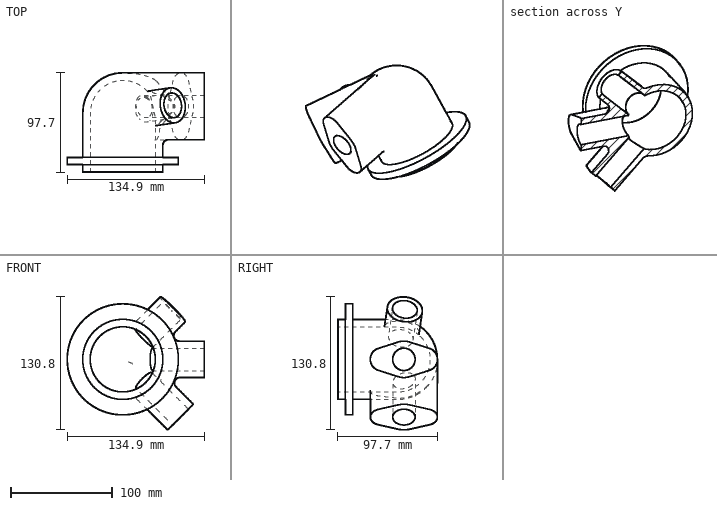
import cadquery as cq
import math

BODY_RADIUS = 39.37
BORE_RADIUS = 32.0
BODY_LENGTH = 58.35
FLANGE_RADIUS = 54.7
FLANGE_THICKNESS = 7.3
SPIGOT_LENGTH = 7.3

PORT_REACH = 80.22
PORT_HALF_LENGTH = 33.0
PORT_CENTRE_Y = BODY_RADIUS - PORT_HALF_LENGTH
PORT_CENTRE_RADIUS = 17.9
PORT_END_RADIUS = 11.3
PORT_END_OFFSET = PORT_HALF_LENGTH - PORT_END_RADIUS
PORT_BORE_RADIUS = 11.0
PORT_ANGLES = (0, 45)

BRANCH_REACH = 69.8
BRANCH_RADIUS = 17.4
BRANCH_BORE_RADIUS = 12.2
BRANCH_ANGLE = 45
BRANCH_TILT = 6

FILLET_RADIUS = 5.4
CROWN_HEIGHT = 0.57
CROWN_Y = BODY_RADIUS - CROWN_HEIGHT

EDGE_SAMPLES = (0.25, 0.5, 0.75)
SKIN_TOLERANCE = 0.001


def domed_body(radius):
    outline = (
        cq.Workplane("XY")
        .moveTo(0, -BODY_LENGTH)
        .lineTo(radius, -BODY_LENGTH)
        .lineTo(radius, 0)
        .radiusArc((0, radius), -radius)
        .close()
    )
    return outline.revolve(360, (0, 0, 0), (0, 1, 0))


def place_port(shape, angle):
    return shape.translate((0, PORT_CENTRE_Y, 0)).rotate((0, 0, 0), (0, 1, 0), angle)


def lobed_port(angle):
    lean = (PORT_CENTRE_RADIUS - PORT_END_RADIUS) / PORT_END_OFFSET
    rise = math.sqrt(1 - lean**2)
    mid_y = PORT_CENTRE_RADIUS * lean
    mid_z = PORT_CENTRE_RADIUS * rise
    end_y = PORT_END_OFFSET + PORT_END_RADIUS * lean
    end_z = PORT_END_RADIUS * rise
    port = (
        cq.Workplane("YZ")
        .moveTo(-mid_y, mid_z)
        .threePointArc((0, PORT_CENTRE_RADIUS), (mid_y, mid_z))
        .lineTo(end_y, end_z)
        .threePointArc((PORT_HALF_LENGTH, 0), (end_y, -end_z))
        .lineTo(mid_y, -mid_z)
        .threePointArc((0, -PORT_CENTRE_RADIUS), (-mid_y, -mid_z))
        .lineTo(-end_y, -end_z)
        .threePointArc((-PORT_HALF_LENGTH, 0), (-end_y, end_z))
        .close()
        .extrude(PORT_REACH)
    )
    return place_port(port, angle)


def port_bore(angle):
    return place_port(cq.Workplane("YZ").circle(PORT_BORE_RADIUS).extrude(PORT_REACH), angle)


def branch_cylinder(radius):
    cylinder = cq.Workplane("YZ").circle(radius).extrude(BRANCH_REACH)
    tilted = cylinder.rotate((0, 0, 0), (0, 0, 1), BRANCH_TILT)
    return tilted.rotate((0, 0, 0), (0, 1, 0), -BRANCH_ANGLE)


def crown_split(solid):
    """Cut the solid across Y just below the dome top, where the ports run tangent to the dome."""
    size = 2 * (PORT_REACH + BODY_LENGTH)
    block = cq.Workplane("XY").box(size, size, size)
    below = solid.intersect(block.translate((0, CROWN_Y - size / 2, 0)))
    crown = solid.intersect(block.translate((0, CROWN_Y + size / 2, 0)))
    return below, crown


def junction_edges(solid, parts):
    """Edges of the solid that lie on the skins of at least two of the parts it was joined from."""
    skins = [part.val().Shells()[0] for part in parts]

    def lies_on(edge, skin):
        samples = [cq.Vertex.makeVertex(*edge.positionAt(t).toTuple()) for t in EDGE_SAMPLES]
        return all(skin.distance(sample) < SKIN_TOLERANCE for sample in samples)

    return [e for e in solid.edges().vals() if sum(lies_on(e, skin) for skin in skins) > 1]


def blended_outside():
    parts = [domed_body(BODY_RADIUS)]
    parts += [lobed_port(angle) for angle in PORT_ANGLES]
    parts.append(branch_cylinder(BRANCH_RADIUS))
    joined = parts[0]
    for part in parts[1:]:
        joined = joined.union(part)
    below, crown = crown_split(joined)
    below = below.newObject(junction_edges(below, parts)).fillet(FILLET_RADIUS)
    return below.union(crown)


def flange():
    start = cq.Vector(0, SPIGOT_LENGTH - BODY_LENGTH, 0)
    disc = cq.Solid.makeCylinder(FLANGE_RADIUS, FLANGE_THICKNESS, start, cq.Vector(0, 1, 0))
    return cq.Workplane(disc)


result = blended_outside().union(flange())

result = result.cut(domed_body(BORE_RADIUS))
for port_angle in PORT_ANGLES:
    result = result.cut(port_bore(port_angle))
result = result.cut(branch_cylinder(BRANCH_BORE_RADIUS))